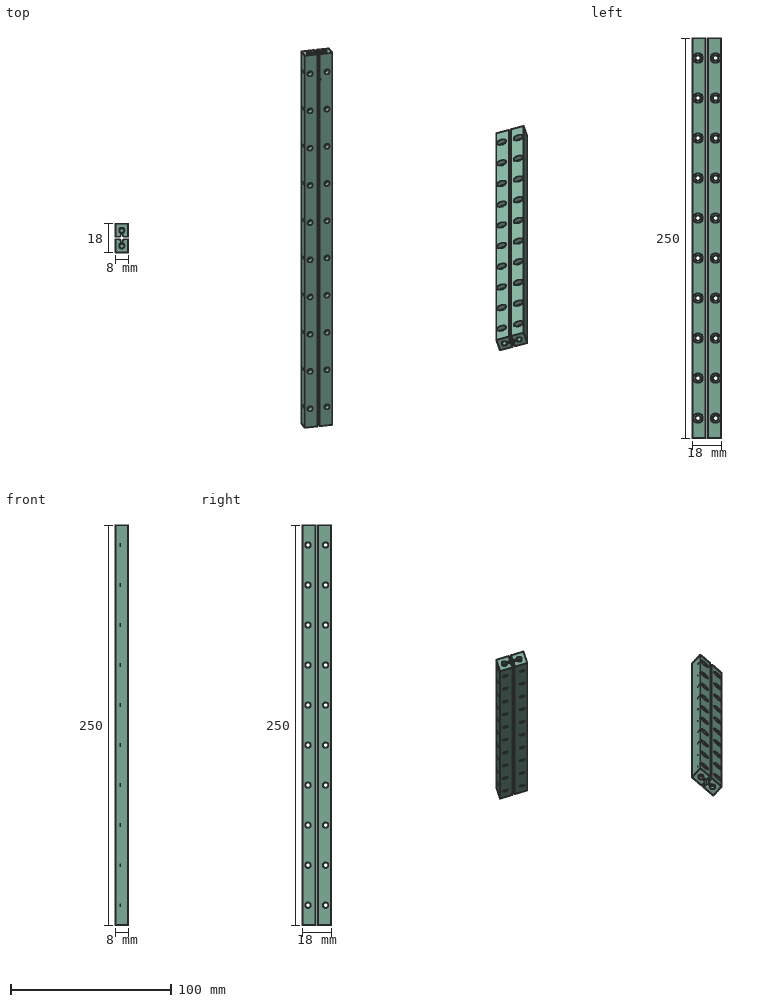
import cadquery as cq
import math

THICKNESS = 8.0
PAIR_WIDTH = 18.0
LENGTH = 250.0

RAIL_GAP = 1.4
RAIL_WIDTH = (PAIR_WIDTH - RAIL_GAP) / 2
RAIL_INNER_Y = RAIL_GAP / 2
RAIL_CENTRE_Y = RAIL_INNER_Y + RAIL_WIDTH / 2
EDGE_CHAMFER = 0.1

GROOVE_WIDTH = 2.8
SLIT_WIDTH = 1.0
SLIT_BOTTOM_DEPTH = 2.0
GROOVE_DEPTH = (GROOVE_WIDTH - SLIT_WIDTH) / 2

MOUNT_HOLE_COUNT = 10
MOUNT_HOLE_PITCH = LENGTH / MOUNT_HOLE_COUNT
MOUNT_HOLE_DIAMETER = 3.2
MOUNT_HOLE_INSET = 3.5
COUNTERBORE_DIAMETER = 6.0
COUNTERBORE_DEPTH = 3.0

END_HOLE_DIAMETER = 3.0
END_HOLE_DEPTH = 6.0
END_HOLE_CHAMFER = 0.2
DRILL_TIP_ANGLE = 118.0


def rail_bar():
    """Plain bar of one rail, on the +Y side of the gap, with all its edges broken."""
    return (
        cq.Workplane("XY")
        .box(THICKNESS, RAIL_WIDTH, LENGTH)
        .edges()
        .chamfer(EDGE_CHAMFER)
        .translate((0, RAIL_CENTRE_Y, LENGTH / 2))
    )


def roller_groove():
    """Groove and relief slit cut into the inner side of the rail over its whole length."""
    half_groove = GROOVE_WIDTH / 2
    half_slit = SLIT_WIDTH / 2
    outline = [
        (-half_groove, 0),
        (-half_slit, GROOVE_DEPTH),
        (-half_slit, SLIT_BOTTOM_DEPTH),
        (half_slit, SLIT_BOTTOM_DEPTH),
        (half_slit, GROOVE_DEPTH),
        (half_groove, 0),
    ]
    return (
        cq.Workplane("XY", origin=(0, RAIL_INNER_Y, 0))
        .polyline(outline)
        .close()
        .extrude(LENGTH)
    )


def mounting_holes():
    """Through holes along X, each with a counterbore in the -X side."""
    hole_y = PAIR_WIDTH / 2 - MOUNT_HOLE_INSET
    centres = [(hole_y, (i + 0.5) * MOUNT_HOLE_PITCH) for i in range(MOUNT_HOLE_COUNT)]
    side = cq.Workplane("YZ", origin=(-THICKNESS / 2, 0, 0)).pushPoints(centres)
    through_holes = side.circle(MOUNT_HOLE_DIAMETER / 2).extrude(THICKNESS)
    counterbores = side.circle(COUNTERBORE_DIAMETER / 2).extrude(COUNTERBORE_DEPTH)
    return through_holes.union(counterbores)


def top_end_hole():
    """Chamfered blind hole going down from the top end face, on the centre line of the rail."""
    radius = END_HOLE_DIAMETER / 2
    tip_length = radius / math.tan(math.radians(DRILL_TIP_ANGLE / 2))
    half_section = [
        (0, 0),
        (radius + END_HOLE_CHAMFER, 0),
        (radius, -END_HOLE_CHAMFER),
        (radius, -END_HOLE_DEPTH),
        (0, -END_HOLE_DEPTH - tip_length),
    ]
    return (
        cq.Workplane("XZ")
        .polyline(half_section)
        .close()
        .revolve(360, (0, 0, 0), (0, 1, 0))
        .translate((0, RAIL_CENTRE_Y, LENGTH))
    )


def rail(side):
    """One rail: side is 1 for the rail on the +Y side and -1 for its mirror image on the -Y side."""
    top_hole = top_end_hole()
    bottom_hole = top_hole.mirror("XY", (0, 0, LENGTH / 2))
    body = rail_bar().cut(roller_groove()).cut(mounting_holes()).cut(top_hole).cut(bottom_hole)
    return body if side > 0 else body.mirror("XZ")


rails = [rail(side).val() for side in (1, -1)]

result = cq.Compound.makeCompound(rails)